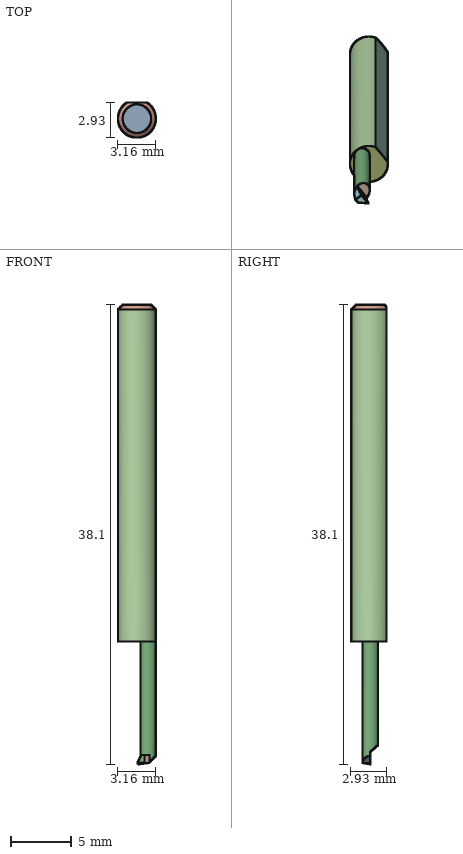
import cadquery as cq

total_length = 38.1
neck_length = 10.17
shank_radius = 1.58
flat_y = 1.353
shank_chamfer = 0.4

neck_radius = 0.65
neck_x = shank_radius - neck_radius

rake_ramp_top = 1.6
rake_ramp_bottom = 1.03
end_face_z = 0.1
shoulder_x = 1.0
shoulder_z = 0.75
back_bevel_height = shank_radius - shoulder_x

tip_corner_x = 0.15
tip_side_x = 0.05
tip_side_z = 0.1
tip_root_x = 0.35
tip_depth = neck_radius
tip_back_x = 0.65
join_overlap = 0.05


def make_shank():
    shank = (
        cq.Workplane("XY")
        .workplane(offset=neck_length)
        .circle(shank_radius)
        .extrude(total_length - neck_length)
        .faces(">Z")
        .chamfer(shank_chamfer)
    )
    flat_cut = cq.Workplane("XY").box(
        2 * shank_radius, shank_radius, total_length, centered=(True, False, False)
    )
    return shank.cut(flat_cut.translate((0, flat_y, 0)))


def make_neck():
    neck = (
        cq.Workplane("XY")
        .workplane(offset=end_face_z)
        .center(neck_x, 0)
        .circle(neck_radius)
        .extrude(neck_length - end_face_z)
    )
    rake_cut = (
        cq.Workplane("YZ")
        .polyline([(0, 0), (0, rake_ramp_bottom), (neck_radius, rake_ramp_top), (neck_radius, 0)])
        .close()
        .extrude(2 * shank_radius)
    )
    back_bevel = (
        cq.Workplane("XZ")
        .moveTo(shoulder_x, end_face_z)
        .lineTo(shank_radius, end_face_z + back_bevel_height)
        .lineTo(shank_radius, end_face_z)
        .close()
        .extrude(neck_radius, both=True)
    )
    tip_clearance = cq.Workplane("XY").box(
        shoulder_x, 2 * neck_radius, shoulder_z, centered=(False, True, False)
    )
    return neck.cut(rake_cut).cut(back_bevel).cut(tip_clearance)


def make_tip():
    tip_end_x = shoulder_x + join_overlap
    rake_outline = [
        (tip_corner_x, 0),
        (shoulder_x, end_face_z),
        (tip_end_x, end_face_z + join_overlap),
        (tip_end_x, shoulder_z),
        (tip_root_x, shoulder_z),
        (tip_side_x, tip_side_z),
    ]
    back_outline = [
        (tip_back_x, end_face_z),
        (shoulder_x, end_face_z),
        (tip_end_x, end_face_z + join_overlap),
        (tip_end_x, shoulder_z),
        (tip_back_x, shoulder_z),
        (tip_back_x, end_face_z + join_overlap),
    ]
    return (
        cq.Workplane("XZ")
        .polyline(rake_outline)
        .close()
        .workplane(offset=tip_depth)
        .polyline(back_outline)
        .close()
        .loft(ruled=True)
    )


result = make_shank().union(make_neck()).union(make_tip())